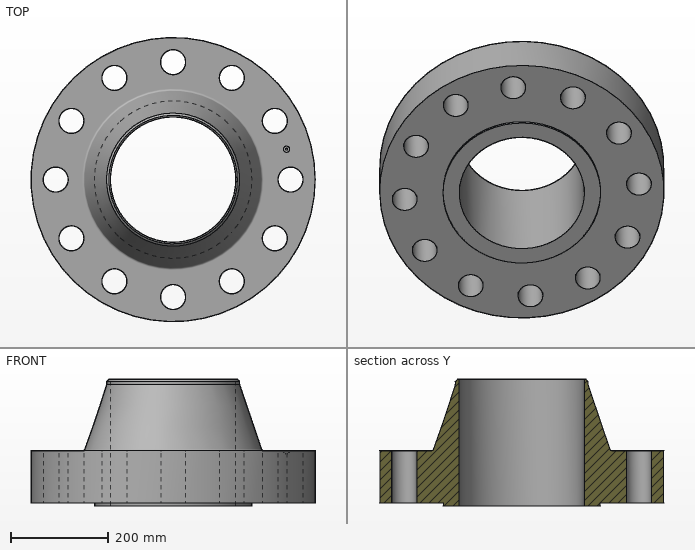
import cadquery as cq
import math

flange_diameter = 584.0
flange_thickness = 108.0
raised_face_diameter = 323.5
raised_face_height = 6.0

total_height = 260.5
hub_base_diameter = 365.5
hub_base_fillet = 4.5
neck_diameter = 273.5
neck_length = 6.0
neck_bevel = 4.5
bore_diameter = 257.0

bolt_count = 12
bolt_circle_diameter = 482.5
bolt_hole_diameter = 51.0

mark_diameter = 13.0
mark_depth = 3.5
mark_pilot_diameter = 4.0
mark_pilot_depth = 7.0

flange_top = raised_face_height + flange_thickness
bevel_bottom = total_height - neck_bevel
neck_bottom = bevel_bottom - neck_length
bolt_pitch_angle = 360 / bolt_count


def disc(diameter, bottom, height):
    """Cylinder about the Z axis."""
    return cq.Workplane("XY").workplane(offset=bottom).circle(diameter / 2).extrude(height)


def bolt_circle_point(angle):
    """Point on the bolt circle at an angle in degrees from +X."""
    radius = bolt_circle_diameter / 2
    return (radius * math.cos(math.radians(angle)), radius * math.sin(math.radians(angle)))


def make_hub():
    """Cone, neck and weld bevel, standing on top of the flange plate."""
    return (
        cq.Workplane("XZ")
        .moveTo(0, flange_top)
        .lineTo(hub_base_diameter / 2, flange_top)
        .lineTo(neck_diameter / 2, neck_bottom)
        .lineTo(neck_diameter / 2, bevel_bottom)
        .lineTo(neck_diameter / 2 - neck_bevel, total_height)
        .lineTo(0, total_height)
        .close()
        .revolve(360, (0, 0, 0), (0, 1, 0))
    )


def make_bolt_holes():
    points = [bolt_circle_point(i * bolt_pitch_angle) for i in range(bolt_count)]
    return cq.Workplane("XY").pushPoints(points).circle(bolt_hole_diameter / 2).extrude(flange_top)


def make_mark():
    """Shallow recess with a smaller hole at its centre, sunk from the flange top."""
    location = bolt_circle_point(bolt_pitch_angle / 2)
    recess = disc(mark_diameter, flange_top - mark_depth, mark_depth)
    pilot = disc(mark_pilot_diameter, flange_top - mark_pilot_depth, mark_pilot_depth)
    return recess.union(pilot).translate((*location, 0))


body = disc(raised_face_diameter, 0, raised_face_height)
body = body.union(disc(flange_diameter, raised_face_height, flange_thickness))
body = body.union(make_hub())

body = body.edges(cq.selectors.RadiusNthSelector(-2)).fillet(hub_base_fillet)

body = body.cut(disc(bore_diameter, 0, total_height))
body = body.cut(make_bolt_holes())
body = body.cut(make_mark())

result = body